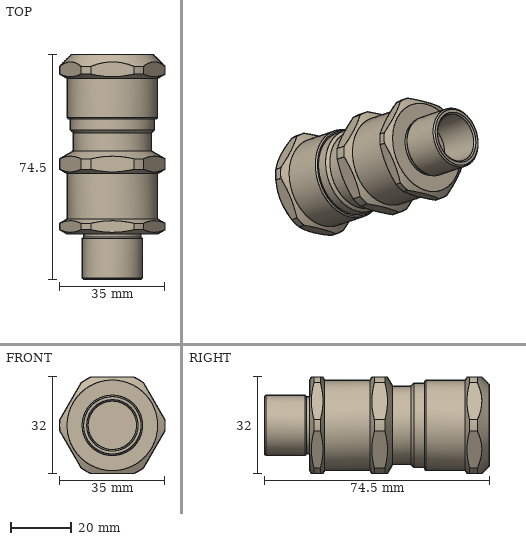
import cadquery as cq
import math


hexagon_sides = 6
across_flats = 32.0
across_corners = across_flats / math.cos(math.pi / hexagon_sides)
corner_diameter = 35.0
nut_bevel_angle = 30.0
cap_bevel_angle = 45.0

thread_diameter = 20.0
thread_length = 15.0
thread_chamfer = 0.5
neck_diameter = 19.0
neck_length = 1.0
bore_diameter = 16.0
bore_depth = thread_length
bore_chamfer = 0.5

entry_nut_length = 5.0
entry_body_length = 15.0
middle_nut_length = 7.5
stem_length = 6.0
collar_length = 4.5
cap_body_length = 13.5
cap_nut_length = 8.0

body_diameter = 30.0
stem_diameter = 26.0
collar_diameter = 28.0
collar_chamfer = (collar_diameter - stem_diameter) / 2
cap_body_chamfer = 0.5
cap_end_diameter = 27.0

entry_nut_end = entry_nut_length
middle_nut_start = entry_nut_end + entry_body_length
middle_nut_end = middle_nut_start + middle_nut_length
collar_start = middle_nut_end + stem_length
cap_body_start = collar_start + collar_length
cap_nut_start = cap_body_start + cap_body_length


def cylinder(start, length, diameter):
    """Cylinder about the Y axis, from start toward +Y."""
    circle = cq.Workplane("XZ", origin=(0, start, 0)).circle(diameter / 2)
    return circle.extrude(-length)


def bevel_length(face_diameter, angle):
    """Axial length of a bevel from a nut face out to the trimmed corners."""
    return (corner_diameter - face_diameter) / 2 * math.tan(math.radians(angle))


def hex_nut(start, length, front_diameter, back_diameter, back_angle=nut_bevel_angle):
    """Hexagon with flats facing up and down, corners trimmed and both faces beveled."""
    end = start + length
    front_bevel = bevel_length(front_diameter, nut_bevel_angle)
    back_bevel = bevel_length(back_diameter, back_angle)
    turned_blank = (
        cq.Workplane("XY")
        .moveTo(0, start)
        .lineTo(front_diameter / 2, start)
        .lineTo(corner_diameter / 2, start + front_bevel)
        .lineTo(corner_diameter / 2, end - back_bevel)
        .lineTo(back_diameter / 2, end)
        .lineTo(0, end)
        .close()
        .revolve(360, (0, 0, 0), (0, 1, 0))
    )
    hexagon = (
        cq.Workplane("XZ", origin=(0, start, 0))
        .polygon(hexagon_sides, across_corners)
        .extrude(-length)
    )
    return turned_blank.intersect(hexagon)


def entry_thread():
    """Unthreaded spigot blank with a relief neck against the shoulder."""
    neck = cylinder(-neck_length, neck_length, neck_diameter)
    spigot = cylinder(-thread_length, thread_length - neck_length, thread_diameter)
    return neck.union(spigot.edges().chamfer(thread_chamfer))


def entry_bore():
    """Blind bore in the spigot, with a chamfered mouth."""
    mouth_y = -thread_length
    radius = bore_diameter / 2
    return (
        cq.Workplane("XY")
        .moveTo(0, mouth_y)
        .lineTo(radius + bore_chamfer, mouth_y)
        .lineTo(radius, mouth_y + bore_chamfer)
        .lineTo(radius, mouth_y + bore_depth)
        .lineTo(0, mouth_y + bore_depth)
        .close()
        .revolve(360, (0, 0, 0), (0, 1, 0))
    )


def collar():
    """Short collar, chamfered down to the stem."""
    return cylinder(collar_start, collar_length, collar_diameter).faces("<Y").chamfer(collar_chamfer)


def cap_body():
    """Sleeve of the cap, with its free edge broken."""
    return cylinder(cap_body_start, cap_body_length, body_diameter).faces("<Y").chamfer(cap_body_chamfer)


result = (
    entry_thread()
    .union(hex_nut(0, entry_nut_length, body_diameter, body_diameter))
    .union(cylinder(entry_nut_end, entry_body_length, body_diameter))
    .union(hex_nut(middle_nut_start, middle_nut_length, body_diameter, stem_diameter))
    .union(cylinder(middle_nut_end, stem_length, stem_diameter))
    .union(collar())
    .union(cap_body())
    .union(hex_nut(cap_nut_start, cap_nut_length, body_diameter, cap_end_diameter, cap_bevel_angle))
    .cut(entry_bore())
)